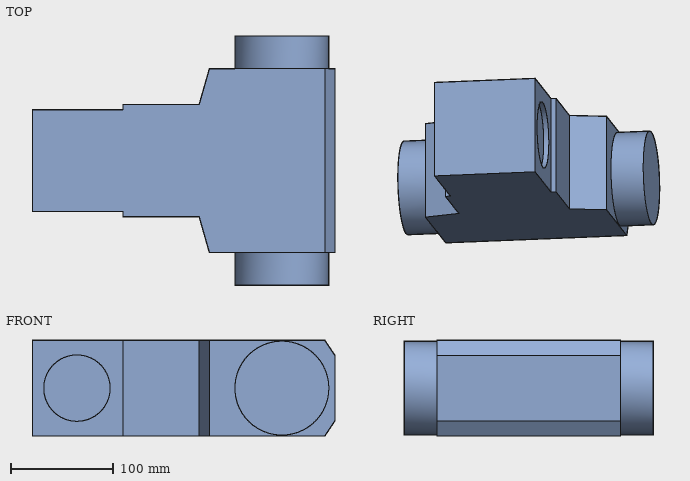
import cadquery as cq

total_length = 296.0
height = 94.0
total_width = 244.0

tip_width = 100.0
neck_width = 110.0
head_width = 180.0

tip_length = 88.5
neck_length = 74.5
shoulder_length = 10.0

bevel_length = 10.0
bevel_height = 15.0

boss_diameter = 92.0
boss_to_head_end = 52.0
boss_length = (total_width - head_width) / 2

recess_diameter = 65.0
recess_from_tip = 43.5
recess_depth = 5.0

head_end_x = boss_to_head_end
tip_x = head_end_x - total_length
neck_start_x = tip_x + tip_length
shoulder_start_x = neck_start_x + neck_length
head_start_x = shoulder_start_x + shoulder_length


def make_body():
    """Stepped T outline extruded over the full height."""
    return (
        cq.Workplane("XY")
        .workplane(offset=-height / 2)
        .moveTo(tip_x, 0)
        .lineTo(tip_x, tip_width / 2)
        .lineTo(neck_start_x, tip_width / 2)
        .lineTo(neck_start_x, neck_width / 2)
        .lineTo(shoulder_start_x, neck_width / 2)
        .lineTo(head_start_x, head_width / 2)
        .lineTo(head_end_x, head_width / 2)
        .lineTo(head_end_x, 0)
        .mirrorX()
        .extrude(height)
    )


def make_bevel(side):
    """Wedge removed from the top (side = 1) or bottom (side = -1) edge of the head end."""
    face_z = side * height / 2
    return (
        cq.Workplane("XZ")
        .moveTo(head_end_x - bevel_length, face_z)
        .lineTo(head_end_x, face_z)
        .lineTo(head_end_x, face_z - side * bevel_height)
        .close()
        .extrude(head_width / 2, both=True)
    )


def make_bosses():
    """One cylinder through the head, forming a boss on each side."""
    return cq.Workplane("XZ").circle(boss_diameter / 2).extrude(head_width / 2 + boss_length, both=True)


def make_recess():
    """Disc removed from the -Y side of the tip."""
    return (
        cq.Workplane("XZ", origin=(tip_x + recess_from_tip, -tip_width / 2 + recess_depth, 0))
        .circle(recess_diameter / 2)
        .extrude(recess_depth)
    )


body = make_body()
for side in (1, -1):
    body = body.cut(make_bevel(side))

result = body.union(make_bosses()).cut(make_recess())